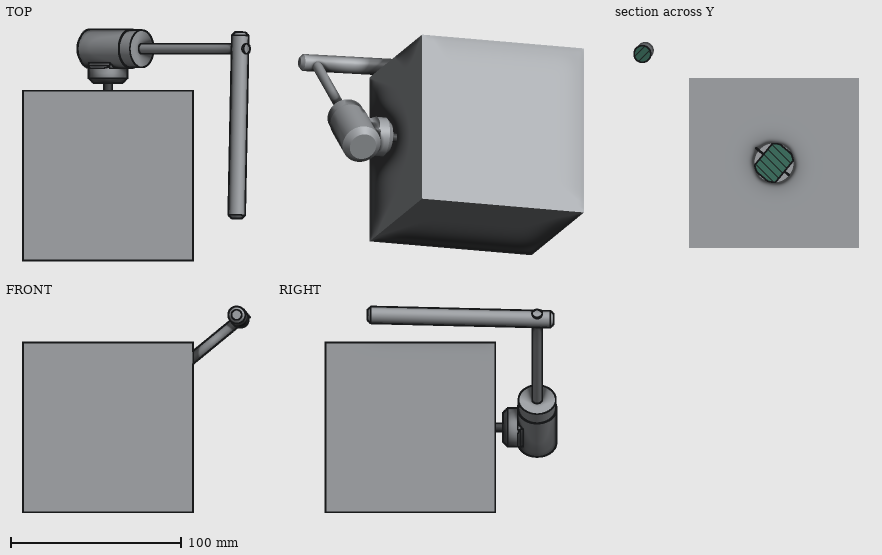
import cadquery as cq
import math

block_side = 100.0
pin_diameter = 5.0
pin_length = 8.2

hub_diameter = 23.0
hub_gap = 4.4
hub_thickness = 8.7
hub_chamfer = 3.0
pin_hole_diameter = 5.2
boss_side = 16.0
cove_height = 1.6
cove_run = 3.0

barrel_diameter = hub_diameter
barrel_back = 17.0
barrel_shoulder = 17.4
barrel_chamfer = 3.5
collar_diameter = 22.0
collar_end = 25.7
arm_angle = 39.4

rod_diameter = 6.0
rod_end = 105.5

rod_hole_diameter = 6.1
handle_diameter = 10.0
handle_length = 109.6
handle_short_end = 9.8
handle_chamfer = 2.0
handle_offset = 100.4
handle_tilt = 1.8

center = block_side / 2
hub_front_y = block_side + hub_gap
hub_back_y = hub_front_y + hub_thickness
boss_height = barrel_diameter / 2
barrel_axis_y = hub_back_y + boss_height
angle = math.radians(arm_angle)
tilt = math.radians(handle_tilt)
arm_direction = cq.Vector(math.cos(angle), 0, math.sin(angle))
arm_origin = cq.Vector(center, barrel_axis_y, center)
handle_direction = cq.Vector(
    -math.sin(tilt) * math.sin(angle),
    -math.cos(tilt),
    math.sin(tilt) * math.cos(angle),
)


def arm_plane(distance):
    """Plane across the arm axis, at a distance from the pin axis."""
    return cq.Plane(arm_origin + arm_direction * distance, (0, 1, 0), arm_direction)


def hub_plane(y):
    """Plane across the pin axis, with its local X along the arm and its normal along +Y."""
    return cq.Plane((center, y, center), arm_direction, (0, 1, 0))


def arm_cylinder(diameter, start, end):
    return cq.Workplane(arm_plane(start)).circle(diameter / 2).extrude(end - start)


def make_base():
    block = cq.Workplane("XY").box(block_side, block_side, block_side, centered=False)
    pin = cq.Workplane(hub_plane(block_side)).circle(pin_diameter / 2).extrude(pin_length)
    return block.union(pin)


def make_coves():
    """Concave ramps from the hub's back up the two boss sides that run along the arm."""
    radius = (cove_run**2 + cove_height**2) / (2 * cove_height)
    middle_angle = math.asin(cove_run / radius) / 2
    foot = boss_side / 2 + cove_run
    middle = (foot - radius * math.sin(middle_angle), radius * (1 - math.cos(middle_angle)))
    start = cq.Vector(center, hub_back_y, center) + arm_direction * (boss_side / 2)
    across = arm_direction.cross(cq.Vector(0, 1, 0))
    cove = (
        cq.Workplane(cq.Plane(start, across, arm_direction * -1))
        .moveTo(0, 0)
        .lineTo(foot, 0)
        .threePointArc(middle, (boss_side / 2, cove_height))
        .lineTo(0, cove_height)
        .close()
        .extrude(boss_side)
    )
    pair = cove.union(cove.rotate((center, 0, center), (center, 1, center), 180))
    limit = cq.Workplane(hub_plane(hub_back_y)).circle(hub_diameter / 2).extrude(cove_height)
    return pair.intersect(limit)


def make_arm():
    hub = cq.Workplane(hub_plane(hub_front_y)).circle(hub_diameter / 2).extrude(hub_thickness)
    hub = hub.faces("<Y").chamfer(hub_chamfer)
    boss = cq.Workplane(hub_plane(hub_back_y)).rect(boss_side, boss_side).extrude(boss_height)
    barrel = arm_cylinder(barrel_diameter, -barrel_back, barrel_shoulder)
    back = cq.selectors.DirectionMinMaxSelector(arm_direction, False)
    barrel = barrel.faces(back).chamfer(barrel_chamfer)
    collar = arm_cylinder(collar_diameter, barrel_shoulder, collar_end)
    rod = arm_cylinder(rod_diameter, collar_end, rod_end)
    pin_depth = pin_length - hub_gap
    pin_hole = cq.Workplane(hub_plane(hub_front_y)).circle(pin_hole_diameter / 2).extrude(pin_depth)
    return hub.union(boss).union(make_coves()).union(barrel).union(collar).union(rod).cut(pin_hole)


def make_handle():
    rod_crossing = arm_origin + arm_direction * handle_offset
    start = rod_crossing - handle_direction * handle_short_end
    plane = cq.Plane(start, arm_direction, handle_direction)
    handle = cq.Workplane(plane).circle(handle_diameter / 2).extrude(handle_length)
    handle = handle.edges("%CIRCLE").chamfer(handle_chamfer)
    rod_hole = arm_cylinder(
        rod_hole_diameter, handle_offset - handle_diameter, handle_offset + handle_diameter
    )
    return handle.cut(rod_hole)


base = make_base()
arm = make_arm()
handle = make_handle()
result = cq.Compound.makeCompound([base.val(), arm.val(), handle.val()])